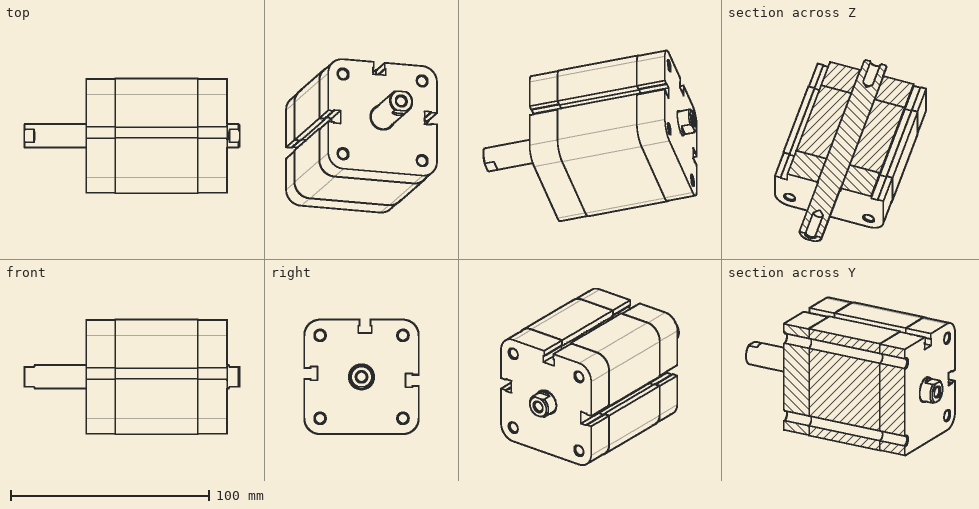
import cadquery as cq


rod_front_overhang = 31.3
rod_rear_overhang = 6.5
rod_length = 109.0
cap_length = 14.7
housing_length = rod_length - rod_front_overhang - rod_rear_overhang
barrel_length = housing_length - 2 * cap_length

barrel_width = 58.0
barrel_corner_radius = 8.1
cap_inset = 0.2
cap_width = barrel_width - 2 * cap_inset
cap_corner_radius = barrel_corner_radius - cap_inset

hole_offset = barrel_width / 2 - barrel_corner_radius
hole_diameter = 5.0
hole_chamfer = 0.5

slot_offset = 1.7
slot_depth = 6.8
slot_lip_depth = 3.3
slot_base_width = 6.8
barrel_mouth_width = 5.3
cap_mouth_width = 5.9

rod_diameter = 12.0
cap_recess_diameter = 12.9
cap_recess_depth = 0.7
flat_height = 10.0
front_flat_length = 5.0
rear_flat_length = 5.2
flat_shoulder_run = 0.4
front_rod_chamfer = 0.4
rear_rod_chamfer = 0.8
rod_hole_diameter = 5.0
rod_hole_depth = 13.1
rod_hole_chamfer = 0.5


def square_block(start, length, width, corner_radius):
    """Square bar along X with rounded long edges."""
    block = cq.Workplane("YZ").workplane(offset=start).rect(width, width).extrude(length)
    return block.edges("|X").fillet(corner_radius)


def slot_cutter(start, length, mouth_width):
    """Cutter for the slot that opens on the +Z side."""
    outer = barrel_width / 2
    floor = outer - slot_depth
    lip = outer - slot_lip_depth
    base = (
        cq.Workplane("YZ").workplane(offset=start)
        .center(slot_offset, (floor + lip) / 2)
        .rect(slot_base_width, lip - floor)
        .extrude(length)
    )
    mouth = (
        cq.Workplane("YZ").workplane(offset=start)
        .center(slot_offset, (floor + outer) / 2)
        .rect(mouth_width, slot_depth)
        .extrude(length)
    )
    return base.union(mouth)


def cut_slots(block, start, length, mouth_width):
    """Cut the slots on the +Z, +Y and -Y sides."""
    top_slot = slot_cutter(start, length, mouth_width)
    side_slot = top_slot.rotate((0, 0, 0), (1, 0, 0), 90)
    opposite_slot = side_slot.rotate((0, 0, 0), (1, 0, 0), 180)
    return block.cut(top_slot).cut(side_slot).cut(opposite_slot)


def cylinder_along_x(start, length, diameter):
    """Solid cylinder on the X axis."""
    return cq.Workplane("YZ").workplane(offset=start).circle(diameter / 2).extrude(length)


def fixing_holes(start, length):
    """Four plain holes along X."""
    spacing = 2 * hole_offset
    return (
        cq.Workplane("YZ").workplane(offset=start)
        .rect(spacing, spacing, forConstruction=True).vertices()
        .circle(hole_diameter / 2)
        .extrude(length)
    )


def hole_countersinks():
    """Chamfers at the outer mouths of the fixing holes."""
    spacing = 2 * hole_offset
    return (
        cq.Workplane("YZ")
        .rect(spacing, spacing, forConstruction=True).vertices()
        .circle(hole_diameter / 2 + hole_chamfer)
        .extrude(hole_chamfer, taper=45)
    )


def make_barrel():
    """Slotted profile tube between the caps."""
    barrel = square_block(cap_length, barrel_length, barrel_width, barrel_corner_radius)
    barrel = cut_slots(barrel, cap_length, barrel_length, barrel_mouth_width)
    barrel = barrel.cut(fixing_holes(cap_length, barrel_length))
    return barrel.cut(cylinder_along_x(cap_length, barrel_length, rod_diameter))


def make_front_cap():
    """End cap whose outer face lies at X = 0."""
    cap = square_block(0, cap_length, cap_width, cap_corner_radius)
    cap = cut_slots(cap, 0, cap_length, cap_mouth_width)
    cap = cap.cut(fixing_holes(0, cap_length)).cut(hole_countersinks())
    cap = cap.cut(cylinder_along_x(0, cap_length, rod_diameter))
    return cap.cut(cylinder_along_x(0, cap_recess_depth, cap_recess_diameter))


def make_rear_cap():
    """Mirror image of the front cap at the other end of the barrel."""
    return make_front_cap().mirror("YZ", (housing_length / 2, 0, 0))


def cut_flats(rod, end, inward, flat_length):
    """Cut two flats with sloping shoulders; inward is the X direction from this rod end into the rod."""
    radius = rod_diameter / 2
    half_height = flat_height / 2
    shoulder_foot = end + inward * flat_length
    shoulder_top = shoulder_foot + inward * flat_shoulder_run
    upper_cutter = (
        cq.Workplane("XZ")
        .moveTo(end, half_height)
        .lineTo(shoulder_foot, half_height)
        .lineTo(shoulder_top, radius)
        .lineTo(end, radius)
        .close()
        .extrude(radius, both=True)
    )
    return rod.cut(upper_cutter).cut(upper_cutter.mirror("XY"))


def rod_end_hole():
    """Blind hole with a drill point and a chamfered mouth, opening at X = 0."""
    radius = rod_hole_diameter / 2
    return (
        cq.Workplane("XY")
        .moveTo(0, 0)
        .lineTo(0, radius + rod_hole_chamfer)
        .lineTo(rod_hole_chamfer, radius)
        .lineTo(rod_hole_depth, radius)
        .lineTo(rod_hole_depth + radius, 0)
        .close()
        .revolve(360, (0, 0, 0), (1, 0, 0))
    )


def make_rod():
    """Rod that passes through the whole cylinder."""
    front = -rod_front_overhang
    rear = front + rod_length
    rod = cylinder_along_x(front, rod_length, rod_diameter)
    rod = rod.faces("<X").chamfer(front_rod_chamfer)
    rod = rod.faces(">X").chamfer(rear_rod_chamfer)
    rod = cut_flats(rod, front, 1, front_flat_length)
    rod = cut_flats(rod, rear, -1, rear_flat_length)
    hole = rod_end_hole()
    rod = rod.cut(hole.translate((front, 0, 0)))
    return rod.cut(hole.mirror("YZ").translate((rear, 0, 0)))


barrel = make_barrel()
front_cap = make_front_cap()
rear_cap = make_rear_cap()
rod = make_rod()

bodies = [barrel, front_cap, rear_cap, rod]
result = cq.Compound.makeCompound([body.solids().val() for body in bodies])